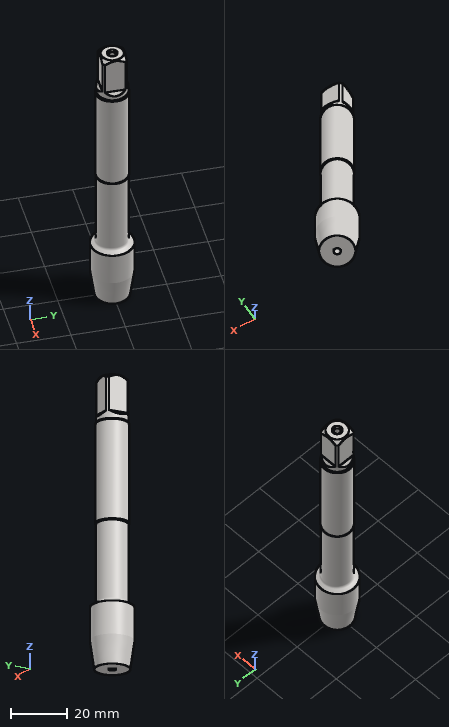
import cadquery as cq
import math

total_length = 110.0
bore_diameter = 2.5

head_diameter = 16.1
lead_tip_diameter = 13.0
lead_length = 10.7
head_length = 23.3

neck_diameter = 11.9
neck_fillet = 1.1
shoulder_angle = 30.0
shank_diameter = 12.2
shank_bottom = 54.6
shank_top = 93.0
shank_chamfer_height = 0.4
collar_diameter = 11.7

square_width = 9.0
square_bottom = 96.0
tip_diameter = 8.4
tip_chamfer_height = 1.4

countersink_diameter = 3.7
countersink_depth = (countersink_diameter - bore_diameter) / 2


def make_bore():
    """Coolant bore running through both bodies."""
    return cq.Workplane("XY").circle(bore_diameter / 2).extrude(total_length)


def make_head():
    """Cylindrical cutting head with a tapered lower end."""
    profile = [
        (0, 0),
        (lead_tip_diameter / 2, 0),
        (head_diameter / 2, lead_length),
        (head_diameter / 2, head_length),
        (0, head_length),
    ]
    head = cq.Workplane("XZ").polyline(profile).close().revolve(360, (0, 0), (0, 1))
    return head.cut(make_bore())


def make_round_shaft():
    """Turned shaft with a filleted conical shoulder widening to the head."""
    neck_radius = neck_diameter / 2
    head_radius = head_diameter / 2
    slope = math.radians(shoulder_angle)
    arc_centre_r = neck_radius + neck_fillet
    cone_top_r = arc_centre_r - neck_fillet * math.sin(slope)
    cone_top_z = head_length + (head_radius - cone_top_r) * math.tan(slope)
    neck_bottom = cone_top_z + neck_fillet * math.cos(slope)
    arc_middle = (math.pi / 2 + slope) / 2
    arc_middle_point = (
        arc_centre_r - neck_fillet * math.sin(arc_middle),
        neck_bottom - neck_fillet * math.cos(arc_middle),
    )
    return (
        cq.Workplane("XZ")
        .moveTo(0, head_length)
        .lineTo(head_radius, head_length)
        .lineTo(cone_top_r, cone_top_z)
        .threePointArc(arc_middle_point, (neck_radius, neck_bottom))
        .lineTo(neck_radius, shank_bottom)
        .lineTo(shank_diameter / 2, shank_bottom + shank_chamfer_height)
        .lineTo(shank_diameter / 2, shank_top - shank_chamfer_height)
        .lineTo(collar_diameter / 2, shank_top)
        .lineTo(collar_diameter / 2, total_length - tip_chamfer_height)
        .lineTo(tip_diameter / 2, total_length)
        .lineTo(0, total_length)
        .close()
        .revolve(360, (0, 0), (0, 1))
    )


def make_flat_cut(angle):
    """Cutter for one flat of the square, with a 45 degree run-out at its foot."""
    flat = square_width / 2
    outside = shank_diameter / 2
    runout_bottom = square_bottom - (outside - flat)
    profile = [
        (flat, total_length),
        (flat, square_bottom),
        (outside, runout_bottom),
        (outside, total_length),
    ]
    cutter = cq.Workplane("XZ").polyline(profile).close().extrude(outside, both=True)
    return cutter.rotate((0, 0, 0), (0, 0, 1), angle)


def make_countersink():
    """Conical mouth of the bore."""
    profile = [
        (0, total_length),
        (countersink_diameter / 2, total_length),
        (bore_diameter / 2, total_length - countersink_depth),
        (0, total_length - countersink_depth),
    ]
    return cq.Workplane("XZ").polyline(profile).close().revolve(360, (0, 0), (0, 1))


def make_shaft():
    """Shaft with its drive square, bore and countersink."""
    shaft = make_round_shaft()
    for angle in (0, 90, 180, 270):
        shaft = shaft.cut(make_flat_cut(angle))
    return shaft.cut(make_bore()).cut(make_countersink())


head = make_head()
shaft = make_shaft()
result = cq.Compound.makeCompound([head.val(), shaft.val()])